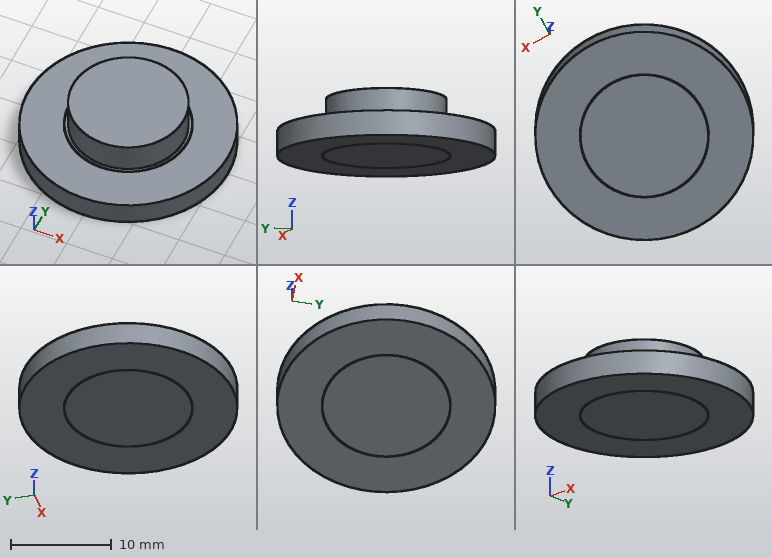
import cadquery as cq

ring_diameter = 21.7
bore_diameter = 12.8
ring_thickness = 2.5

flange_diameter = 12.7
flange_thickness = ring_thickness
boss_diameter = 12.0
total_height = 5.7
boss_height = total_height - flange_thickness


def make_ring():
    """Flat ring with its underside at Z = 0."""
    return (
        cq.Workplane("XY")
        .circle(ring_diameter / 2)
        .circle(bore_diameter / 2)
        .extrude(ring_thickness)
    )


def make_plug():
    """Round flange with clearance in the bore, and a narrower boss on top."""
    return (
        cq.Workplane("XY")
        .circle(flange_diameter / 2)
        .extrude(flange_thickness)
        .faces(">Z")
        .workplane()
        .circle(boss_diameter / 2)
        .extrude(boss_height)
    )


ring = make_ring()
plug = make_plug()

result = cq.Compound.makeCompound([ring.val(), plug.val()])